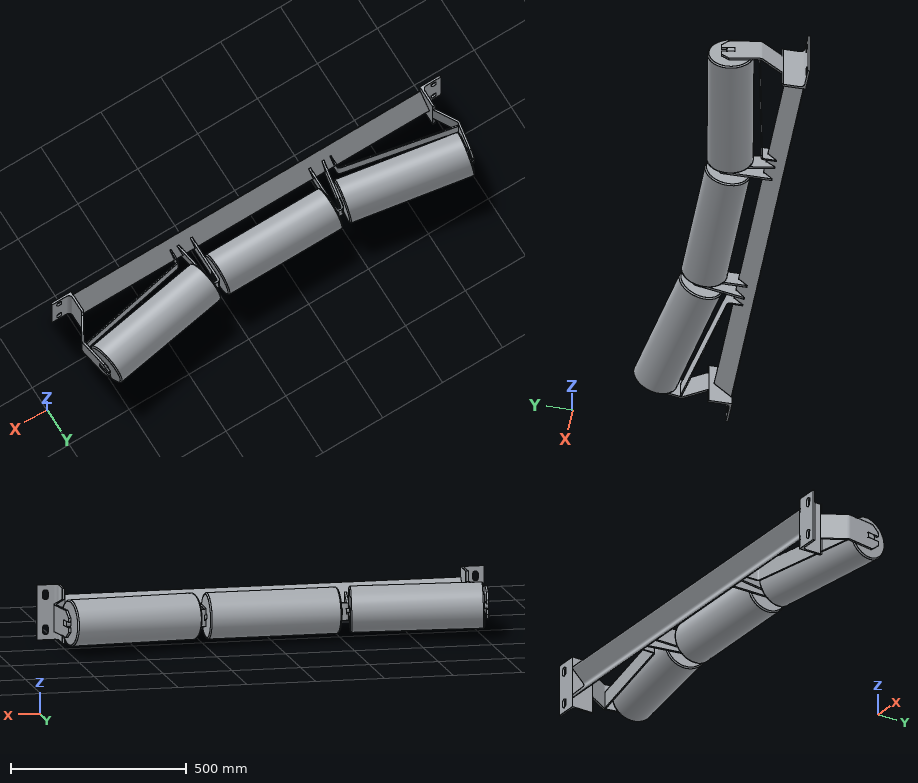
import cadquery as cq
import math

OVERALL_LENGTH = 1300.0
FOOT_HEIGHT = 160.0
FOOT_FLANGE = 68.0
FOOT_LEG = 70.0
SHEET = 6.0
FOOT_BEND_RADIUS = 12.0
BOLT_SLOT_WIDTH = 15.0
BOLT_SLOT_LENGTH = 27.0
BOLT_SLOT_INSET = 25.0
BOLT_SLOT_PITCH = 101.0

ANGLE_LEG = 70.0
ANGLE_THICKNESS = 8.0
ANGLE_TOE_RADIUS = 5.5
ANGLE_ROOT_RADIUS = 8.0

ROLLER_DIAMETER = 133.0
ROLLER_LENGTH = 382.0
ROLLER_CHAMFER = 4.0
SHAFT_DIAMETER = 25.0
SHAFT_FLATS = 15.0
CENTER_ROLLER_Y = 153.0
SIDE_ROLLER_X = 415.0
SIDE_ROLLER_Y = 187.0
SIDE_ROLLER_Z = 5.8
TROUGH_ANGLE = 10.0
LEAN_ANGLE = 1.4

UPRIGHT_WIDTH = 78.0
UPRIGHT_SHIFT = 10.0
UPRIGHT_CHAMFER_ALONG = 22.0
UPRIGHT_CHAMFER_ACROSS = 18.0
UPRIGHT_CLEARANCE = 6.0
UPRIGHT_TOP = 27.0
UPRIGHT_KNEE = 87.0
LEG_KNEE_Y = 66.0
KNEE_RADIUS = 8.0

STRUT_WIDTH = 51.0
STRUT_THICKNESS = 4.0
STRUT_END_X = 265.0
STRUT_LOW_Y = 72.0
STRUT_SLOPE = 11.3
STRUT_RADIUS = 5.0

BRIDGE_WIDTH = 51.0
BRIDGE_TOP_Y = 181.0
BRIDGE_RADIUS = 3.0
BRIDGE_CLEARANCE = 3.2
BRIDGE_SIDE_CLEARANCE = 3.2

LEG_X = OVERALL_LENGTH / 2 - FOOT_FLANGE
ANGLE_HALF_HEIGHT = ANGLE_LEG / math.sqrt(2)
TOE_TRIM = ANGLE_TOE_RADIUS * (math.sqrt(2) - 1)
APEX_Y = (ANGLE_LEG + ANGLE_THICKNESS) / math.sqrt(2) - TOE_TRIM
ROLLER_HALF = ROLLER_LENGTH / 2
COS_T = math.cos(math.radians(TROUGH_ANGLE))
SIN_T = math.sin(math.radians(TROUGH_ANGLE))


def beside_side_roller(along, above):
    """XY point at a distance outward along, and above, the right side roller axis."""
    x = SIDE_ROLLER_X + along * COS_T - above * SIN_T
    y = SIDE_ROLLER_Y + along * SIN_T + above * COS_T
    return (x, y)


def bent_sheet(face_points, thickness, width, bends):
    """Strip of sheet along one face path, thickened to the left, with rounded bends.

    bends maps a path point index to its inside bend radius.
    """
    directions = []
    for (x0, y0), (x1, y1) in zip(face_points, face_points[1:]):
        length = math.hypot(x1 - x0, y1 - y0)
        directions.append(((x1 - x0) / length, (y1 - y0) / length))
    far_points = []
    for i, (x, y) in enumerate(face_points):
        ux, uy = directions[max(i - 1, 0)]
        vx, vy = directions[min(i, len(directions) - 1)]
        miter = thickness / (1 + ux * vx + uy * vy)
        far_points.append((x - miter * (uy + vy), y + miter * (ux + vx)))
    outline = face_points + far_points[::-1]
    sheet = cq.Workplane("XY").polyline(outline).close().extrude(width / 2, both=True)
    for i, radius in bends.items():
        (ux, uy), (vx, vy) = directions[i - 1], directions[i]
        left_turn = ux * vy - uy * vx > 0
        near_radius = radius + thickness if left_turn else radius
        far_radius = radius if left_turn else radius + thickness
        for (x, y), edge_radius in ((face_points[i], near_radius), (far_points[i], far_radius)):
            corner = cq.selectors.NearestToPointSelector((x, y, 0))
            sheet = sheet.edges("|Z").edges(corner).fillet(edge_radius)
    return sheet


def place_center(body):
    return body.translate((0, CENTER_ROLLER_Y, 0))


def place_right(body):
    """Move a body built along X at the origin to the right side roller axis."""
    leaned = body.rotate((0, 0, 0), (0, 1, 0), -LEAN_ANGLE)
    sloped = leaned.rotate((0, 0, 0), (0, 0, 1), TROUGH_ANGLE)
    return sloped.translate((SIDE_ROLLER_X, SIDE_ROLLER_Y, SIDE_ROLLER_Z))


def mirrored(body):
    return body.mirror("YZ")


def make_roller(shaft_start, shaft_end):
    barrel = (
        cq.Workplane("YZ", origin=(-ROLLER_HALF, 0, 0))
        .circle(ROLLER_DIAMETER / 2).extrude(ROLLER_LENGTH)
        .edges().chamfer(ROLLER_CHAMFER)
    )
    length = shaft_end - shaft_start
    flats = cq.Workplane("YZ", origin=(shaft_start, 0, 0)).rect(SHAFT_DIAMETER, SHAFT_FLATS).extrude(length)
    shaft = cq.Workplane("YZ", origin=(shaft_start, 0, 0)).circle(SHAFT_DIAMETER / 2).extrude(length)
    return barrel.union(shaft.intersect(flats))


def make_shaft_slot(start, end):
    """Open-topped space that the shaft drops into, with its floor under the shaft."""
    slot_height = ROLLER_DIAMETER
    return (
        cq.Workplane("XY", origin=((start + end) / 2, slot_height / 2 - SHAFT_DIAMETER / 2, 0))
        .box(end - start, slot_height, SHAFT_FLATS)
    )


UPRIGHT_FACE = ROLLER_HALF + UPRIGHT_CLEARANCE + SHEET
SLOPED_LEG_FACE = ROLLER_HALF + BRIDGE_SIDE_CLEARANCE + SHEET
STRAIGHT_LEG_FACE = ROLLER_HALF + BRIDGE_CLEARANCE + SHEET

center_roller = place_center(make_roller(-STRAIGHT_LEG_FACE, STRAIGHT_LEG_FACE))
right_roller = place_right(make_roller(-SLOPED_LEG_FACE, UPRIGHT_FACE))


def make_beam():
    """Angle iron with its outer corner toward +Y."""
    tip = ANGLE_THICKNESS / math.sqrt(2)
    outer_tip_y = APEX_Y - ANGLE_HALF_HEIGHT
    sharp_toe_y = outer_tip_y - tip
    root_y = APEX_Y - ANGLE_THICKNESS * math.sqrt(2)
    outline = [
        (APEX_Y, 0),
        (outer_tip_y, ANGLE_HALF_HEIGHT),
        (sharp_toe_y, ANGLE_HALF_HEIGHT - tip),
        (root_y, 0),
        (sharp_toe_y, tip - ANGLE_HALF_HEIGHT),
        (outer_tip_y, -ANGLE_HALF_HEIGHT),
    ]
    beam = cq.Workplane("YZ").polyline(outline).close().extrude(LEG_X, both=True)
    root = cq.selectors.NearestToPointSelector((0, root_y, 0))
    beam = beam.edges("|X").edges(root).fillet(ANGLE_ROOT_RADIUS)
    return beam.edges("|X").edges("<Y").fillet(ANGLE_TOE_RADIUS)


def make_beam_space():
    """Everything behind the two outer faces of the beam, used to notch the parts standing on it."""
    outline = [(APEX_Y, 0), (0, APEX_Y), (0, -APEX_Y)]
    return cq.Workplane("YZ").polyline(outline).close().extrude(LEG_X, both=True)


beam = make_beam()
beam_space = make_beam_space()


def upright_knee():
    return beside_side_roller(UPRIGHT_FACE, -UPRIGHT_KNEE)


def make_foot_and_upright():
    leg_outer_x = LEG_X + SHEET
    path = [
        (OVERALL_LENGTH / 2, SHEET),
        (leg_outer_x, SHEET),
        (leg_outer_x, LEG_KNEE_Y),
        upright_knee(),
        beside_side_roller(UPRIGHT_FACE, UPRIGHT_TOP),
    ]
    knee = 3
    sheet = bent_sheet(path, SHEET, FOOT_HEIGHT, {knee: KNEE_RADIUS})
    foot_corner = cq.selectors.NearestToPointSelector((leg_outer_x, SHEET, 0))
    sheet = sheet.edges("|Z").edges(foot_corner).fillet(FOOT_BEND_RADIUS)
    foot_zone = cq.Workplane("XY").box(
        OVERALL_LENGTH, FOOT_LEG, FOOT_HEIGHT, centered=(True, False, True)
    )
    return sheet.intersect(foot_zone.union(make_upright_zone()))


def make_upright_zone():
    """Outline of the upright across its sheet, extruded along the side roller slope."""
    half = UPRIGHT_WIDTH / 2
    shoulder = UPRIGHT_TOP - UPRIGHT_CHAMFER_ALONG
    bottom = -2 * SIDE_ROLLER_Y
    outline = [
        (bottom, -half),
        (shoulder, -half),
        (UPRIGHT_TOP, UPRIGHT_CHAMFER_ACROSS - half),
        (UPRIGHT_TOP, half - UPRIGHT_CHAMFER_ACROSS),
        (shoulder, half),
        (bottom, half),
    ]
    zone = cq.Workplane("YZ").polyline(outline).close().extrude(OVERALL_LENGTH / 2, both=True)
    zone = zone.rotate((0, 0, 0), (0, 0, 1), TROUGH_ANGLE)
    return zone.translate((SIDE_ROLLER_X, SIDE_ROLLER_Y, UPRIGHT_SHIFT))


def cut_bolt_slots(support):
    slots = (
        cq.Workplane("XZ", origin=(OVERALL_LENGTH / 2 - BOLT_SLOT_INSET, 0, 0))
        .pushPoints([(0, -BOLT_SLOT_PITCH / 2), (0, BOLT_SLOT_PITCH / 2)])
        .slot2D(BOLT_SLOT_LENGTH, BOLT_SLOT_WIDTH, 90)
        .extrude(SHEET, both=True)
    )
    return support.cut(slots)


def make_strut():
    """Sloping strip from the knee of the upright down onto the beam."""
    knee_x = upright_knee()[0] - SHEET
    rise = (knee_x - STRUT_END_X) * math.tan(math.radians(STRUT_SLOPE))
    path = [(knee_x, STRUT_LOW_Y + rise), (STRUT_END_X, STRUT_LOW_Y), (STRUT_END_X, 0)]
    strut = bent_sheet(path, STRUT_THICKNESS, STRUT_WIDTH, {1: STRUT_RADIUS})
    return strut.cut(beam_space)


def make_support():
    support = cut_bolt_slots(make_foot_and_upright()).union(make_strut())
    return support.cut(place_right(make_shaft_slot(ROLLER_HALF, UPRIGHT_FACE + SHEET)))


right_support = make_support()


def make_bridge():
    """Inverted U whose straight leg carries the center roller and sloped leg a side roller."""
    straight_x = STRAIGHT_LEG_FACE
    top = (BRIDGE_TOP_Y - SIDE_ROLLER_Y + SLOPED_LEG_FACE * SIN_T) / COS_T
    bottom = (-SIDE_ROLLER_Y + SLOPED_LEG_FACE * SIN_T) / COS_T
    path = [
        (straight_x, 0),
        (straight_x, BRIDGE_TOP_Y - SHEET),
        beside_side_roller(-SLOPED_LEG_FACE, top - SHEET / COS_T),
        beside_side_roller(-SLOPED_LEG_FACE, bottom),
    ]
    bridge = bent_sheet(path, SHEET, BRIDGE_WIDTH, {1: BRIDGE_RADIUS, 2: BRIDGE_RADIUS})
    bridge = bridge.cut(beam_space)
    center_slot = place_center(make_shaft_slot(ROLLER_HALF, straight_x))
    side_slot = place_right(make_shaft_slot(-SLOPED_LEG_FACE, -ROLLER_HALF))
    return bridge.cut(center_slot).cut(side_slot)


right_bridge = make_bridge()

bodies = [beam, center_roller]
for body in (right_roller, right_support, right_bridge):
    bodies += [body, mirrored(body)]

result = cq.Compound.makeCompound([body.val() for body in bodies])